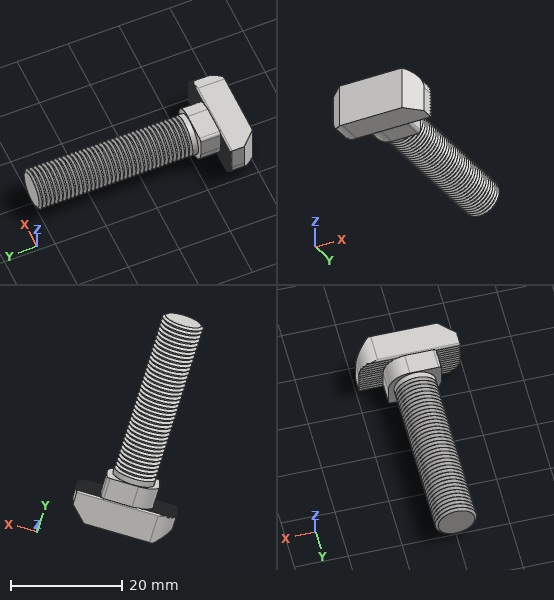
import cadquery as cq
import math


head_length = 18.8
head_thickness = 5.6
head_height = 8.4
head_corner_radius = 3.5
head_chamfer = 2.9

ridge_count = 13
ridge_pitch = head_height / ridge_count
ridge_height = ridge_pitch / 2

neck_length = 3.9
neck_width = 9.9
neck_height = 8.2
neck_turning_radius = 4.0
neck_stop_radius = 0.55

collar_length = 1.1
thread_length = 30.0
thread_pitch = 0.8
crest_radius = 3.9
thread_depth = 0.5
root_radius = crest_radius - thread_depth
stud_length = collar_length + thread_length
crest_count = math.ceil(thread_length / thread_pitch)


def bar_along_y(width, height, y_start, y_end):
    """Rectangular bar centred on the Y axis."""
    length = y_end - y_start
    return cq.Workplane("XY").box(width, length, height).translate((0, (y_start + y_end) / 2, 0))


def round_turning_corners(bar, radius):
    """Round the two opposite long edges that let the bolt turn in the slot."""
    return bar.edges("|Y").edges("<(1, 0, 1) or >(1, 0, 1)").fillet(radius)


def round_stop_corners(bar, radius):
    """Round the other two long edges, which stop the bolt against the slot walls."""
    return bar.edges("|Y").edges("<(1, 0, -1) or >(1, 0, -1)").fillet(radius)


def serrated_bar():
    """Head-sized bar whose clamping side is a row of half-round ridges with crests at Y = 0."""
    top = head_height / 2
    profile = (
        cq.Workplane("YZ")
        .moveTo(-ridge_height, top)
        .lineTo(-head_thickness, top)
        .lineTo(-head_thickness, -top)
        .lineTo(-ridge_height, -top)
    )
    for index in range(ridge_count):
        z_start = index * ridge_pitch - top
        crest = (0, z_start + ridge_pitch / 2)
        valley = (-ridge_height, z_start + ridge_pitch)
        profile = profile.threePointArc(crest, valley)
    return profile.close().extrude(head_length / 2, both=True)


def make_hammer_head():
    half_length = head_length / 2
    plan = (
        cq.Workplane("XY")
        .polyline([
            (-half_length, 0),
            (-half_length, head_chamfer - head_thickness),
            (head_chamfer - half_length, -head_thickness),
            (half_length - head_chamfer, -head_thickness),
            (half_length, head_chamfer - head_thickness),
            (half_length, 0),
        ])
        .close()
        .extrude(head_height / 2, both=True)
    )
    envelope = bar_along_y(head_length, head_height, -head_thickness, 0)
    head = plan.intersect(round_turning_corners(envelope, head_corner_radius))
    head = head.intersect(serrated_bar())

    neck = bar_along_y(neck_width, neck_height, -ridge_height, neck_length)
    neck = round_turning_corners(neck, neck_turning_radius)
    neck = round_stop_corners(neck, neck_stop_radius)
    return head.union(neck)


def make_threaded_stud():
    """Stud revolved about Y, standing on the end face of the neck."""
    y_start = neck_length
    y_end = y_start + stud_length
    profile = (
        cq.Workplane("YZ")
        .moveTo(y_start, 0)
        .lineTo(y_start, crest_radius)
        .lineTo(y_start + collar_length, crest_radius)
    )
    for index in range(1, crest_count):
        y_crest = y_start + collar_length + index * thread_pitch
        profile = profile.lineTo(y_crest - thread_pitch / 2, root_radius).lineTo(y_crest, crest_radius)
    profile = profile.lineTo(y_end, root_radius).lineTo(y_end, 0).close()
    return profile.revolve(360, (0, 0, 0), (1, 0, 0))


hammer_head = make_hammer_head()
threaded_stud = make_threaded_stud()

result = cq.Compound.makeCompound([hammer_head.val(), threaded_stud.val()])